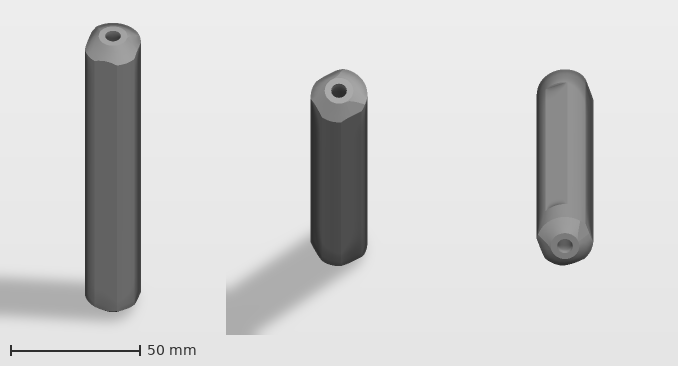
import cadquery as cq

length = 140.0
body_diameter = 22.0
flat_distance = 10.01
end_diameter = 11.0
back_taper_height = 3.15
land_length = 14.8
hole_diameter = 6.0
hole_depth = 14.8

body_radius = body_diameter / 2
end_radius = end_diameter / 2
front_taper_height = body_radius - end_radius
half_length = length / 2


def tapered_half_outline(taper_height):
    """Points from the axis outward, running from the bottom end to the top end."""
    shoulder = half_length - taper_height
    return [
        (0, -half_length),
        (end_radius, -half_length),
        (body_radius, -shoulder),
        (body_radius, shoulder),
        (end_radius, half_length),
        (0, half_length),
    ]


def tapered_round(taper_height):
    outline = cq.Workplane("XZ").polyline(tapered_half_outline(taper_height)).close()
    return outline.revolve(360, (0, 0, 0), (0, 1, 0))


def half_space(side):
    """Block covering the +Y half (side = 1) or the -Y half (side = -1)."""
    block = cq.Workplane("XY").box(body_diameter, body_diameter, length)
    return block.translate((0, side * body_radius, 0))


def planar_tapers():
    """Prism along Y whose sloping end faces bevel both X sides at 45 degrees."""
    right_side = tapered_half_outline(front_taper_height)
    left_side = [(-x, z) for x, z in reversed(right_side[1:-1])]
    outline = cq.Workplane("XZ").polyline(right_side[1:-1] + left_side).close()
    return outline.extrude(body_radius, both=True)


front_half = tapered_round(front_taper_height).intersect(half_space(-1))
back_half = tapered_round(back_taper_height).intersect(planar_tapers()).intersect(half_space(1))
body = front_half.union(back_half)

flat_envelope = cq.Workplane("XY").box(2 * flat_distance, flat_distance + body_radius, length)
body = body.intersect(flat_envelope.translate((0, (body_radius - flat_distance) / 2, 0)))

back_flat_cutter = cq.Workplane("XY").box(body_diameter, body_diameter, length - 2 * land_length)
body = body.cut(back_flat_cutter.translate((0, flat_distance + body_radius, 0)))

for end_face in (">Z", "<Z"):
    face_plane = body.faces(end_face).workplane(origin=(0, 0, 0))
    body = face_plane.hole(hole_diameter, hole_depth)

result = body